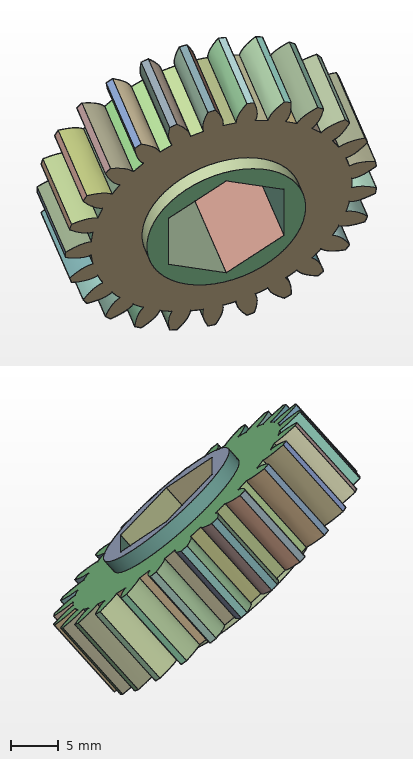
import cadquery as cq
import math

gear_height = 34.27
tooth_count = 25
pressure_angle = math.radians(20)
tip_half_angle = math.radians(1.4)
root_radius = 14.35
face_width = 9.53
hub_diameter = 17.48
hub_length = 12.7
hex_across_flats = 12.7
hex_sides = 6

tooth_pitch = 2 * math.pi / tooth_count
tip_radius = gear_height / 2 / math.cos(tooth_pitch / 4 - tip_half_angle)
pitch_radius = tip_radius * tooth_count / (tooth_count + 2)
base_radius = pitch_radius * math.cos(pressure_angle)
flank_steps = 6


def polar(radius, angle):
    """Point in the YZ plane; angle is measured from -Y towards +Z."""
    return (-radius * math.cos(angle), radius * math.sin(angle))


def involute(radius):
    """Polar angle swept by the involute between the base circle and a radius."""
    roll = math.acos(base_radius / radius)
    return math.tan(roll) - roll


base_half_angle = tip_half_angle + involute(tip_radius)


def flank_points(center, side):
    """Points of one tooth flank: its root corner, then the involute out to the tip."""
    points = [polar(root_radius, center + side * base_half_angle)]
    for step in range(flank_steps + 1):
        radius = base_radius + (tip_radius - base_radius) * step / flank_steps
        half_angle = base_half_angle - involute(radius)
        points.append(polar(radius, center + side * half_angle))
    return points


def toothed_disc():
    """Spur gear disc: smooth flanks joined by arc tips and arc gaps."""
    outline = cq.Workplane("YZ", origin=(-face_width / 2, 0, 0))
    outline = outline.moveTo(*polar(root_radius, -base_half_angle))
    for tooth in range(tooth_count):
        center = tooth * tooth_pitch
        rising = flank_points(center, -1)
        falling = flank_points(center, 1)[::-1]
        outline = outline.spline(rising[1:], includeCurrent=True)
        outline = outline.threePointArc(polar(tip_radius, center), falling[0])
        outline = outline.spline(falling[1:], includeCurrent=True)
        outline = outline.threePointArc(
            polar(root_radius, center + tooth_pitch / 2),
            polar(root_radius, center + tooth_pitch - base_half_angle),
        )
    return outline.close().extrude(face_width)


def hub():
    """Round hub that stands out as a collar on both faces of the disc."""
    return cq.Workplane("YZ").circle(hub_diameter / 2).extrude(hub_length / 2, both=True)


def hex_bore():
    """Hexagonal through bore with two corners on the Z axis."""
    across_corners = hex_across_flats / math.cos(math.pi / hex_sides)
    bore = cq.Workplane("YZ").polygon(hex_sides, across_corners).extrude(hub_length / 2, both=True)
    return bore.rotate((0, 0, 0), (1, 0, 0), 90)


result = toothed_disc().union(hub()).cut(hex_bore())